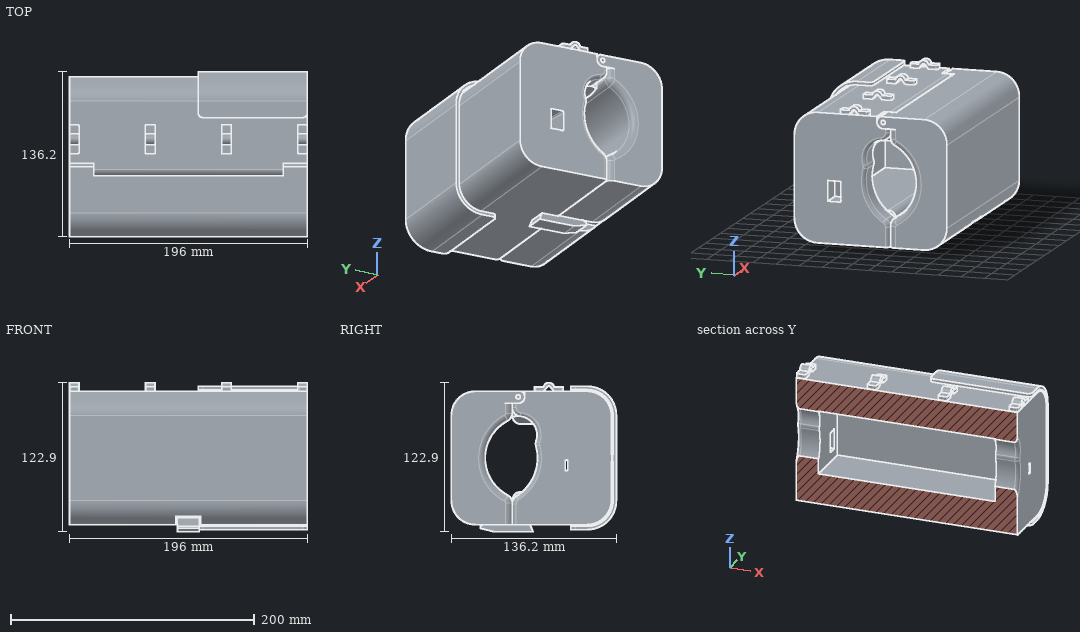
import cadquery as cq
import math

length = 196.0
case_depth = 132.0
case_height = 110.0
case_corner = 20.0
split_y = 50.2
mid_z = case_height / 2
end_plate = 20.0

cover_bore_radius = 34.5
cover_bore_y = 62.5
cover_rim = 5.7
cover_lip_radius = 7.0
housing_bore_radius = 37.2
housing_bore_y = 33.7
lobe_radius = 15.5
lobe_y = 55.0
lobe_z = 73.9
housing_rim = 3.1
housing_lip_radius = 7.5
ridge_radius = 5.9

cavity_back_y = 109.8
cavity_height = 55.7
cavity_lip = 7.0
ramp_length = 11.8

window_front_y = 91.5
window_back_y = 103.0
window_bottom_z = 35.7
window_top_z = 53.1
window_taper = 2.4
window_corner = 1.2
exit_slot_width = 2.0
exit_slot_height = 8.5

hinge_y = 55.0
hinge_z = 105.3
knuckle_diameter = 10.8
knuckle_radius = knuckle_diameter / 2
hinge_hole = 3.5
tongue_round = 5.7

cleat_count = 4
cleat_width = 8.0
cleat_length = 24.0
cleat_thickness = 3.5
cleat_y = 80.4
bump_radius = 4.5
bump_height = 7.0
arch_half_base = 4.1
arch_half_crown = 1.2
arch_shoulder = 3.5
arch_height = 4.1
outer_cleat_corner = 1.2
inner_cleat_corner = 0.5

band_width = 90.0
band_gap = 1.2
band_thickness = 3.0
band_leg = 37.8
band_corner = 4.0
band_post = 6.0

latch_width = 18.0
latch_drop = 5.9
latch_rise = 5.7
latch_tip_y = 23.7
latch_tip_top = -1.2
latch_tip_bottom = -3.0
latch_bevel_y = 35.5
latch_heel_top_y = 65.0
latch_heel_bottom_y = 67.5
pocket_width = 20.8
pocket_height = 7.0

hair = 0.2
allowance = 2.0


def block(x0, x1, y0, y1, z0, z1):
    """Box between two opposite corners."""
    return cq.Workplane("XY").box(x1 - x0, y1 - y0, z1 - z0, centered=False).translate((x0, y0, z0))


def section(x=0.0):
    """YZ workplane at a position along the length; local x is Y and local y is Z."""
    return cq.Workplane("YZ", origin=(x, 0, 0))


def bar(y, z, radius, x0, x1):
    """Cylinder along X."""
    return section(x0).center(y, z).circle(radius).extrude(x1 - x0)


def split_edges(body, z_low, z_high):
    """Lengthwise edges on the split plane whose height lies between two limits."""
    box = cq.selectors.BoxSelector(
        (-hair, split_y - hair, z_low), (length + hair, split_y + hair, z_high)
    )
    return body.edges("|X").edges(box)


def round_rim(body, low_y, high_y, radius):
    """Round the edges of the split and the cable opening on both end faces."""
    for x in (0, length):
        box = cq.selectors.BoxSelector(
            (x - hair, low_y, hair), (x + hair, high_y, case_height - hair)
        )
        body = body.edges(box).fillet(radius)
    return body


def bore_ridge():
    """Selector for the lengthwise edges where the lobe meets the main bore."""
    return cq.selectors.BoxSelector(
        (0, lobe_y + allowance, mid_z),
        (length, housing_bore_y + housing_bore_radius + allowance, lobe_z),
    )


def hinge_notches():
    """Clearance in the housing for the two ears of the cover."""
    notches = []
    for x in (0, length - end_plate):
        slot = block(x, x + end_plate, split_y, hinge_y + knuckle_radius, hinge_z, case_height)
        floor = block(x, x + end_plate, split_y, hinge_y, hinge_z - knuckle_radius, hinge_z)
        notches.append(slot.union(floor).union(bar(hinge_y, hinge_z, knuckle_radius, x, x + end_plate)))
    return notches


def housing_cavity():
    """Space between the end walls, with a rounded mouth at the split."""
    floor_z = mid_z - cavity_height / 2
    ceiling_z = mid_z + cavity_height / 2
    mouth_y = split_y + cavity_lip
    mid_arc = cavity_lip * (1 - math.sqrt(0.5))
    return (
        section(end_plate)
        .moveTo(split_y, floor_z - cavity_lip)
        .threePointArc((split_y + mid_arc, floor_z - mid_arc), (mouth_y, floor_z))
        .lineTo(cavity_back_y, floor_z)
        .lineTo(cavity_back_y, ceiling_z)
        .lineTo(mouth_y, ceiling_z)
        .threePointArc((split_y + mid_arc, ceiling_z + mid_arc), (split_y, ceiling_z + cavity_lip))
        .close()
        .extrude(length - 2 * end_plate)
    )


def ceiling_ramp():
    """Slope that leads from the top of each lobe down to the cavity ceiling."""
    ceiling_z = mid_z + cavity_height / 2
    near_ramp = (
        cq.Workplane("XZ", origin=(0, split_y, 0))
        .moveTo(end_plate, ceiling_z)
        .lineTo(end_plate, lobe_z + lobe_radius)
        .lineTo(end_plate + ramp_length, ceiling_z)
        .close()
        .extrude(split_y - lobe_y - lobe_radius)
        .intersect(bar(lobe_y, lobe_z, lobe_radius, end_plate, end_plate + ramp_length))
    )
    return near_ramp.union(near_ramp.mirror("YZ", (length / 2, 0, 0)))


def entry_window():
    """Window in the near end wall, narrowing inwards on one side."""
    return (
        cq.Workplane("XY", origin=(0, 0, window_bottom_z))
        .moveTo(0, window_front_y)
        .lineTo(0, window_back_y)
        .lineTo(end_plate, window_back_y)
        .lineTo(end_plate, window_front_y + window_taper)
        .close()
        .extrude(window_top_z - window_bottom_z)
        .faces("<Y")
        .edges("<Z or >Z")
        .fillet(window_corner)
    )


def make_housing():
    body = block(0, length, split_y, case_depth, 0, case_height)
    body = body.faces(">Y").edges("|X").fillet(case_corner)
    for x in (0, length - end_plate):
        body = body.cut(bar(housing_bore_y, mid_z, housing_bore_radius, x, x + end_plate))
        body = body.cut(bar(lobe_y, lobe_z, lobe_radius, x, x + end_plate))
    body = split_edges(body, allowance, case_height - allowance).fillet(housing_lip_radius)
    body = body.edges("|X").edges(bore_ridge()).fillet(ridge_radius)
    bore_back_y = housing_bore_y + housing_bore_radius
    body = round_rim(body, split_y - allowance, bore_back_y + allowance, housing_rim)
    for notch in hinge_notches():
        body = body.cut(notch)
    body = split_edges(body, case_height - allowance, case_height + allowance).fillet(tongue_round)
    body = body.cut(housing_cavity()).cut(ceiling_ramp()).cut(entry_window())
    slot_y = window_front_y + window_taper
    exit_slot = block(length - end_plate, length, slot_y, slot_y + exit_slot_width,
                      window_top_z - exit_slot_height, window_top_z)
    return body.cut(exit_slot)


def hinge_ear(x):
    """Ear of the cover with its round knuckle and hinge hole."""
    arm = block(x, x + end_plate, split_y - cover_rim, hinge_y, hinge_z - knuckle_radius, case_height)
    knuckle = bar(hinge_y, hinge_z, knuckle_radius, x, x + end_plate)
    below_top = block(x, x + end_plate, 0, case_depth, 0, case_height)
    return arm.union(knuckle.intersect(below_top)).cut(bar(hinge_y, hinge_z, hinge_hole / 2, x, x + end_plate))


def make_cover():
    body = block(0, length, 0, split_y, 0, case_height)
    body = body.faces("<Y").edges("|X").fillet(case_corner)
    body = body.cut(bar(cover_bore_y, mid_z, cover_bore_radius, 0, length))
    body = split_edges(body, allowance, case_height - allowance).fillet(cover_lip_radius)
    bore_front_y = cover_bore_y - cover_bore_radius
    body = round_rim(body, bore_front_y - allowance, split_y + allowance, cover_rim)
    for x in (0, length - end_plate):
        body = body.union(hinge_ear(x))
    pocket_x = (length - pocket_width) / 2
    return body.cut(block(pocket_x, pocket_x + pocket_width, 0, split_y, 0, pocket_height))


def make_cleat(center_x, corner):
    """Flat strap with an arched bump over the middle."""
    base_z = case_height
    strap = block(center_x - cleat_width / 2, center_x + cleat_width / 2, cleat_y - cleat_length / 2,
                  cleat_y + cleat_length / 2, base_z, base_z + cleat_thickness)
    strap = strap.edges("|Z").fillet(corner)
    start_x = center_x - cleat_width / 2
    bump = bar(cleat_y, base_z + bump_height - bump_radius, bump_radius, start_x, start_x + cleat_width)
    arch = (
        section(start_x)
        .moveTo(cleat_y - arch_half_base, base_z)
        .lineTo(cleat_y - arch_half_crown, base_z + arch_shoulder)
        .threePointArc((cleat_y, base_z + arch_height), (cleat_y + arch_half_crown, base_z + arch_shoulder))
        .lineTo(cleat_y + arch_half_base, base_z)
        .close()
        .extrude(cleat_width)
    )
    above_base = block(start_x, start_x + cleat_width, cleat_y - bump_radius, cleat_y + bump_radius,
                       base_z, base_z + bump_height)
    return strap.union(bump.intersect(above_base)).cut(arch)


def band_loop(offset):
    """Rounded block standing off the case by the given distance."""
    loop = block(length - band_width, length, split_y, case_depth + offset, -offset, case_height + offset)
    return loop.faces(">Y").edges("|X").fillet(case_corner + offset)


def make_band():
    outer = band_gap + band_thickness
    leg_end_y = case_depth + outer - band_leg
    body = band_loop(outer).cut(band_loop(band_gap))
    body = body.cut(block(0, length, 0, leg_end_y, -case_height, 2 * case_height))
    body = body.faces("<Y").edges("|Z").fillet(band_corner)
    post = (
        cq.Workplane("XZ", origin=(length - band_width / 2, case_depth, mid_z))
        .circle(band_post / 2)
        .extrude(-(band_gap + band_thickness / 2))
    )
    return body.union(post)


def make_latch():
    return (
        section((length - latch_width) / 2)
        .moveTo(latch_heel_bottom_y, -latch_drop)
        .lineTo(latch_bevel_y, -latch_drop)
        .lineTo(latch_tip_y, latch_tip_bottom)
        .lineTo(latch_tip_y, latch_tip_top)
        .lineTo(latch_bevel_y, latch_rise)
        .lineTo(split_y, latch_rise)
        .lineTo(split_y, 0)
        .lineTo(latch_heel_top_y, 0)
        .close()
        .extrude(latch_width)
    )


housing = make_housing()
cover = make_cover()
band = make_band()
latch = make_latch()

cleats = []
cleat_pitch = (length - cleat_width) / (cleat_count - 1)
for index in range(cleat_count):
    is_outer = index in (0, cleat_count - 1)
    cleat_corner = outer_cleat_corner if is_outer else inner_cleat_corner
    cleats.append(make_cleat(cleat_width / 2 + index * cleat_pitch, cleat_corner).val())

result = cq.Compound.makeCompound([housing.val(), cover.val(), band.val(), latch.val(), *cleats])